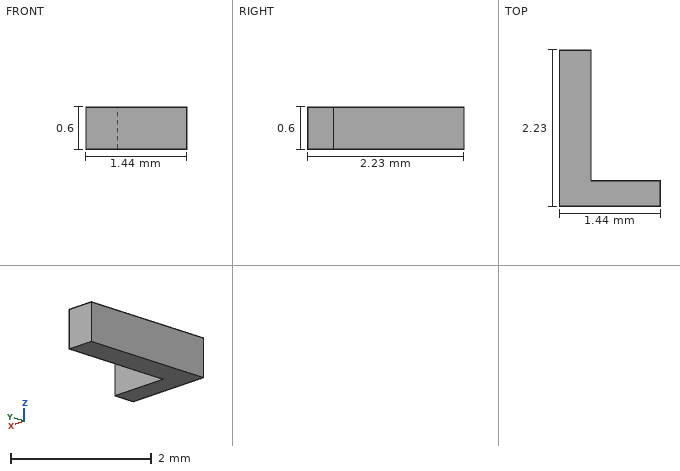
import cadquery as cq

width = 1.44
length = 2.23
height = 0.6

long_leg_thickness = 0.453
short_leg_thickness = 0.368

left = -width / 2
right = width / 2
front = -length / 2
back = length / 2
inner_x = left + long_leg_thickness
inner_y = front + short_leg_thickness

outline = [
    (left, front),
    (right, front),
    (right, inner_y),
    (inner_x, inner_y),
    (inner_x, back),
    (left, back),
]

result = cq.Workplane("XY").polyline(outline).close().extrude(height)